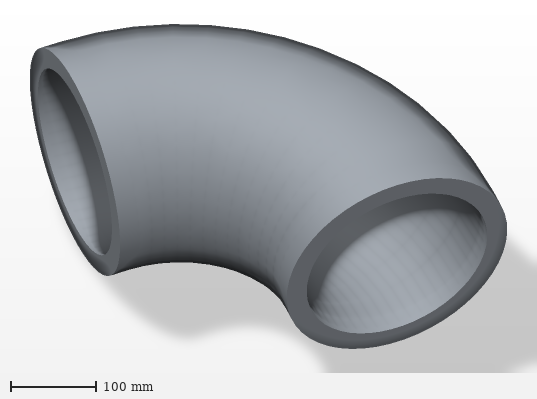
import cadquery as cq

outer_diameter = 280.0
wall_thickness = 25.4
bend_radius = 265.0
collar_length = 25.0
bend_angle = 90.0

bore_diameter = outer_diameter - 2 * wall_thickness



def pipe_section(plane):
    """Ring-shaped pipe cross-section on the given plane."""
    return cq.Workplane(plane).circle(outer_diameter / 2).circle(bore_diameter / 2)


def bend():
    """Quarter torus between the two collars, revolved about the Z axis."""
    start_plane = cq.Plane(origin=(-bend_radius, 0, 0), xDir=(1, 0, 0), normal=(0, -1, 0))
    axis_start = (bend_radius, 0)
    axis_end = (bend_radius, -1)
    return pipe_section(start_plane).revolve(bend_angle, axis_start, axis_end)


def collar(centre, direction):
    """Straight pipe length leaving the bend at centre along direction."""
    end_plane = cq.Plane(origin=centre, xDir=(0, 0, 1), normal=direction)
    return pipe_section(end_plane).extrude(collar_length)


front_collar = collar((-bend_radius, 0, 0), (0, -1, 0))
side_collar = collar((0, bend_radius, 0), (1, 0, 0))

result = bend().union(front_collar).union(side_collar)